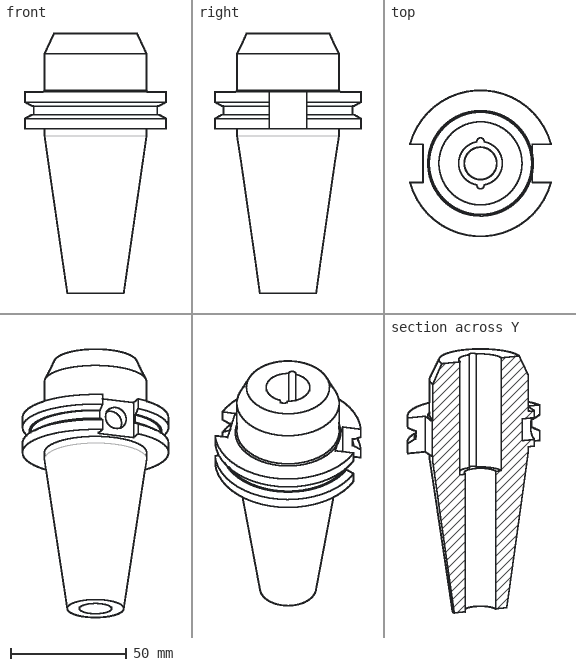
import cadquery as cq

total_height = 112.7
taper_height = 68.4
flange_bottom = 71.3
flange_height = 16.0
flange_top = flange_bottom + flange_height
nose_cone_height = 8.9

taper_small_diameter = 24.6
body_diameter = 44.4
nose_diameter = 36.1
flange_diameter = 63.5
flange_root_fillet = 0.7

groove_diameter = 56.1
groove_floor_width = 3.7
groove_side_height = 1.7
groove_ledge_width = 0.7
groove_middle = flange_bottom + flange_height / 2

drive_slot_width = 16.5
left_slot_floor = 25.0
right_slot_floor = 22.5

chip_hole_diameter = 9.6
chip_hole_depth = 5.6

bore_diameter = 18.9
bore_depth = 50.7
coolant_groove_diameter = 3.2
through_hole_diameter = 14.0


def turned_body():
    """Taper, flange and nose, revolved about Z."""
    body_radius = body_diameter / 2
    flange_radius = flange_diameter / 2
    groove_radius = groove_diameter / 2
    ledge_radius = groove_radius + groove_ledge_width
    floor_half = groove_floor_width / 2
    mouth_half = floor_half + groove_side_height
    profile = (
        cq.Workplane("XZ")
        .lineTo(taper_small_diameter / 2, 0)
        .lineTo(body_radius, taper_height)
        .lineTo(body_radius, flange_bottom)
        .lineTo(flange_radius, flange_bottom)
        .lineTo(flange_radius, groove_middle - mouth_half)
        .lineTo(ledge_radius, groove_middle - floor_half)
        .lineTo(groove_radius, groove_middle - floor_half)
        .lineTo(groove_radius, groove_middle + floor_half)
        .lineTo(ledge_radius, groove_middle + floor_half)
        .lineTo(flange_radius, groove_middle + mouth_half)
        .lineTo(flange_radius, flange_top)
        .lineTo(body_radius + flange_root_fillet, flange_top)
        .radiusArc((body_radius, flange_top + flange_root_fillet), flange_root_fillet)
        .lineTo(body_radius, total_height - nose_cone_height)
        .lineTo(nose_diameter / 2, total_height)
        .lineTo(0, total_height)
        .close()
    )
    return profile.revolve(360, (0, 0, 0), (0, 1, 0))


def drive_slot(side, floor_distance):
    """Cutter for one drive slot; side is -1 for -X and +1 for +X."""
    return (
        cq.Workplane("XY", origin=(side * (floor_distance + flange_diameter / 2), 0, flange_bottom))
        .rect(flange_diameter, drive_slot_width)
        .extrude(flange_height)
    )


def chip_hole():
    """Cutter for the pocket in the -X slot floor."""
    return (
        cq.Workplane("YZ", origin=(-left_slot_floor, 0, groove_middle))
        .circle(chip_hole_diameter / 2)
        .extrude(chip_hole_depth)
    )


def tool_bore():
    """Cutter for the bore with its two coolant grooves and the through hole."""
    bore_top = cq.Workplane("XY", origin=(0, 0, total_height))
    bore = bore_top.circle(bore_diameter / 2).extrude(-bore_depth)
    grooves = (
        bore_top.pushPoints([(0, side * bore_diameter / 2) for side in (-1, 1)])
        .circle(coolant_groove_diameter / 2)
        .extrude(-bore_depth)
    )
    through_hole = cq.Workplane("XY").circle(through_hole_diameter / 2).extrude(total_height)
    return bore.union(grooves).union(through_hole)


result = (
    turned_body()
    .cut(drive_slot(-1, left_slot_floor))
    .cut(drive_slot(1, right_slot_floor))
    .cut(chip_hole())
    .cut(tool_bore())
)